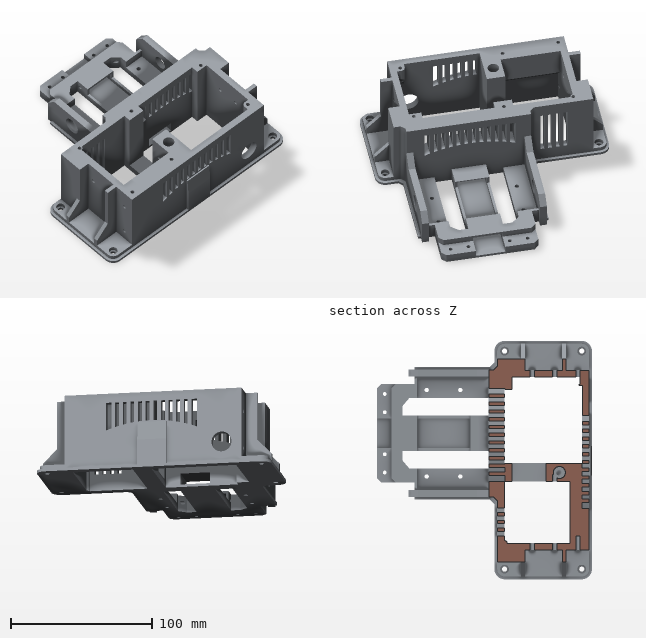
import cadquery as cq

OVERALL_X = 152.0
OVERALL_Y = 168.63
HEIGHT = 55.0
MID_Y = -19.0
FLANGE_LIP = 2.0
PLATE_Z = 5.0

PLATE_X0 = 85.0
PLATE_X1 = OVERALL_X - FLANGE_LIP
PLATE_HALF_Y = OVERALL_Y / 2 - FLANGE_LIP
PLATE_R = 5.2
NECK_CHAMFER = 3.0
MOUNT_HOLE_R = 1.8
MOUNT_BORE_R = 3.1
MOUNT_BORE_DEPTH = 3.0

BODY_HALF_Y = 72.0
BOSS_X0 = 79.0
CAVITY_X0 = 90.1
CAVITY_X1 = 145.0
MAIN_CAVITY_Y = (-21.0, 39.9)
SIDE_CAVITY_Y = (-77.6, -34.3)
SIDE_CAVITY_X1 = 136.0
UNDERCUT_Z = (23.6, 33.7)
GAP_X = (95.6, 119.0)
SCREW_BLOCK_Y0 = 31.0
POST_SIZE = 6.2
POST_UNDERSIDE_Z = (35.5, 46.7)
SCREW_COLUMN_R = 2.0
BLOCK_BORE = (128.8, -27.6)
BLOCK_BORE_R = 4.1
BLOCK_BORE_DEPTH = 20.0
BLOCK_PILOT_R = 2.3
BLOCK_PILOT_DEPTH = 30.0
CABLE_HOLE = (30.3, 16.3)
CABLE_HOLE_R = 7.2
BADGE_Y = (-30.0, -9.0)
BADGE_EDGE_Z = 20.0
BADGE_TOP_Z = 33.0
BADGE_TOP_T = 1.0
RECESS_DEPTH = 8.3
RIB_T = 3.0
RECESS_X = (104.7, 130.7)
GUSSET_LOW_Z = 10.3
GUSSET_HIGH_Z = 20.6

ARM_X0 = 22.3
ARM_HALF_Y = 45.0
ARM_T = 4.9
ARM_Z = 25.0
ARM_CHAMFER = 6.5
ARM_RAMP = 8.2
ARM_HOLE = (47.2, 14.5)
ARM_HOLE_R = 5.0
ARM_HOLE_CHAMFER = 1.2
DECK_X0 = 26.4
BAR_X1 = 28.3
BAR_Z = 11.6
BAR_X0 = 10.3
TONGUE_Z = 6.7
TONGUE_HALF_Y = 35.0
TONGUE_CHAMFER = 3.2
SLOT_X0 = 18.0
SLOT_Y = (12.4, 24.8)
SLOT_CORNER = (4.7, 5.6)
CHANNEL_HALF_Y = 10.6
CHANNEL_FLOOR_Z = 1.9
CHANNEL_ROOF_Z = 9.8
BRIDGE_X0 = 66.2
BRIDGE_Z = 10.6
DECK_HOLE_X = (35.1, 58.9)
DECK_HOLE_Y = 30.6
DECK_HOLE_R = 1.5
TONGUE_HOLE_X = 5.4
TONGUE_HOLE_Y = (14.9, 27.8)
CROSS_HOLE_X = 20.4

VENT_PITCH = 5.5
VENT_BAR = VENT_PITCH / 2
VENT_COUNT = 12
VENT_HALF_Y = 32.7
VENT_TOP_Z = 48.4
VENT_MID_Z = 34.3
VENT_SAGITTA = 6.1
FRONT_VENT_Y = -0.9
BACK_VENT_Y = FRONT_VENT_Y - 3.5 * VENT_PITCH
SIDE_VENT_Y = -62.6
SIDE_VENT_COUNT = 4
SIDE_VENT_Z = (12.0, 45.4)

SCREW_R = 1.35
SCREW_DEPTH = 10.0
BLOCK_SCREW_DEPTH = 5.0
TOP_SCREWS = [(92.9, 36.9), (141.8, 36.9), (90.1, -27.6), (141.8, -36.9), (90.1, -77.6), (144.9, -77.6)]
END_SCREWS = [(109.7, 39.9), (125.6, 39.9), (142.0, 39.9), (142.0, 13.1)]


def box(x0, x1, y0, y1, z0, z1):
    return cq.Workplane("XY").box(x1 - x0, y1 - y0, z1 - z0, centered=False).translate((x0, y0, z0))


def pin(x, y, z0, z1, radius):
    """Upright cylinder."""
    return cq.Workplane("XY", origin=(x, y, z0)).circle(radius).extrude(z1 - z0)


def pin_y(x, z, y0, y1, radius):
    """Cylinder lying along Y."""
    return cq.Workplane("XZ", origin=(x, y0, z)).circle(radius).extrude(y0 - y1)


def prism_y(points, y0, y1):
    """X-Z polygon extruded along Y."""
    return cq.Workplane("XZ", origin=(0, y0, 0)).polyline(points).close().extrude(y0 - y1)


def neck_wedges(corner_x, half_y, height):
    """Chamfer fillings in the two concave corners beside the arms."""
    c = NECK_CHAMFER
    wedges = cq.Workplane("XY")
    for side in (-1, 1):
        corner = [(corner_x - c, side * half_y), (corner_x, side * (half_y + c)), (corner_x, side * half_y)]
        wedges = wedges.union(cq.Workplane("XY").polyline(corner).close().extrude(height))
    return wedges


def base_layer(margin, height):
    """Rounded housing plate plus the arm strip, grown outwards by margin."""
    half_y = PLATE_HALF_Y + margin
    plate = box(PLATE_X0 - margin, PLATE_X1 + margin, MID_Y - half_y, MID_Y + half_y, 0, height)
    plate = plate.edges("|Z").fillet(PLATE_R + margin)
    arm_half_y = ARM_HALF_Y + margin
    strip = box(DECK_X0, PLATE_X0, -arm_half_y, arm_half_y, 0, height)
    return plate.union(strip).union(neck_wedges(PLATE_X0 - margin, arm_half_y, height))


def housing():
    y0 = MID_Y - BODY_HALF_Y
    y1 = MID_Y + BODY_HALF_Y
    body = box(PLATE_X0, PLATE_X1, y0, y1, 0, HEIGHT)
    body = body.union(box(BOSS_X0, PLATE_X0, -ARM_HALF_Y, ARM_HALF_Y, 0, HEIGHT))
    body = body.union(neck_wedges(PLATE_X0, ARM_HALF_Y, HEIGHT))
    rib_x1 = RECESS_X[1] + RIB_T
    for x0, x1 in (RECESS_X, (rib_x1, PLATE_X1)):
        body = body.cut(box(x0, x1, y0, y0 + RECESS_DEPTH, PLATE_Z, HEIGHT))
        body = body.cut(box(x0, x1, y1 - RECESS_DEPTH, y1, PLATE_Z, HEIGHT))
    return body


def gussets():
    plates = cq.Workplane("XY")
    for side in (-1, 1):
        wall_y = MID_Y + side * BODY_HALF_Y
        tip_y = MID_Y + side * PLATE_HALF_Y
        outline = [(wall_y, 0), (tip_y, 0), (tip_y, GUSSET_LOW_Z), (wall_y, GUSSET_HIGH_Z)]
        for x0 in (RECESS_X[0] - RIB_T, RECESS_X[1]):
            plate = cq.Workplane("YZ", origin=(x0, 0, 0)).polyline(outline).close().extrude(RIB_T)
            plates = plates.union(plate)
    return plates


def corner_post():
    """Rounded screw post in the rear corner of the main cavity, with a sloping underside."""
    low_z, high_z = POST_UNDERSIDE_Z
    x0 = CAVITY_X1 - POST_SIZE
    y1 = MAIN_CAVITY_Y[1]
    y0 = y1 - POST_SIZE
    post = box(x0, CAVITY_X1, y0, y1, low_z, HEIGHT)
    post = post.edges("|Z and <X and <Y").fillet(POST_SIZE / 2)
    return post.cut(prism_y([(x0, low_z), (CAVITY_X1, low_z), (x0, high_z)], y0, y1))


def cavities():
    main = box(CAVITY_X0, CAVITY_X1, *MAIN_CAVITY_Y, 0, HEIGHT)
    screw_block = box(CAVITY_X0, GAP_X[0], SCREW_BLOCK_Y0, MAIN_CAVITY_Y[1], 0, HEIGHT)
    main = main.cut(screw_block).cut(corner_post())
    side = box(CAVITY_X0, SIDE_CAVITY_X1, *SIDE_CAVITY_Y, 0, HEIGHT)
    undercut = [
        (SIDE_CAVITY_X1, 0),
        (CAVITY_X1, 0),
        (CAVITY_X1, UNDERCUT_Z[0]),
        (SIDE_CAVITY_X1, UNDERCUT_Z[1]),
    ]
    side = side.union(prism_y(undercut, *SIDE_CAVITY_Y))
    side = side.cut(pin(CAVITY_X0, SIDE_CAVITY_Y[0], 0, HEIGHT, SCREW_COLUMN_R))
    gap = box(*GAP_X, SIDE_CAVITY_Y[1], MAIN_CAVITY_Y[0], PLATE_Z, HEIGHT)
    return main.union(side).union(gap)


def arms():
    outline = [
        (ARM_X0, 0),
        (ARM_X0, ARM_Z - ARM_CHAMFER),
        (ARM_X0 + ARM_CHAMFER, ARM_Z),
        (BOSS_X0 - ARM_RAMP, ARM_Z),
        (BOSS_X0, ARM_Z + ARM_RAMP),
        (BOSS_X0, 0),
    ]
    hole_x, hole_z = ARM_HOLE
    arm = prism_y(outline, -ARM_HALF_Y, -ARM_HALF_Y + ARM_T)
    arm = arm.cut(pin_y(hole_x, hole_z, -ARM_HALF_Y, -ARM_HALF_Y + ARM_T, ARM_HOLE_R))
    arm = arm.faces("<Y").edges("%CIRCLE").chamfer(ARM_HOLE_CHAMFER)
    return arm.union(arm.mirror("XZ"))


def deck():
    """Tongue, cross bar and cable bridge in front of the housing."""
    tongue = box(0, BAR_X1, -TONGUE_HALF_Y, TONGUE_HALF_Y, 0, TONGUE_Z)
    tongue = tongue.edges("|Z and <X").chamfer(TONGUE_CHAMFER)
    bar = box(BAR_X0, BAR_X1, -TONGUE_HALF_Y, TONGUE_HALF_Y, 0, BAR_Z)
    bar = bar.edges("|Z and <X").chamfer(TONGUE_CHAMFER)
    arm_inner_y = ARM_HALF_Y - ARM_T
    rib = box(DECK_X0, BAR_X1, -arm_inner_y, arm_inner_y, 0, BAR_Z)
    bridge = box(BRIDGE_X0, BOSS_X0, -SLOT_Y[0], SLOT_Y[0], 0, BRIDGE_Z)
    return tongue.union(bar).union(rib).union(bridge)


def deck_openings():
    channel = box(0, CAVITY_X0, -CHANNEL_HALF_Y, CHANNEL_HALF_Y, CHANNEL_FLOOR_Z, CHANNEL_ROOF_Z)
    dx, dy = SLOT_CORNER
    y0, y1 = SLOT_Y
    outline = [(SLOT_X0, y0), (BOSS_X0, y0), (BOSS_X0, y1), (SLOT_X0 + dx, y1), (SLOT_X0, y1 - dy)]
    slot = cq.Workplane("XY").polyline(outline).close().extrude(BAR_Z)
    return channel.union(slot).union(slot.mirror("XZ"))


def deck_holes():
    holes = pin_y(CROSS_HOLE_X, TONGUE_Z, -TONGUE_HALF_Y, TONGUE_HALF_Y, SCREW_R)
    for side in (-1, 1):
        for y in TONGUE_HOLE_Y:
            holes = holes.union(pin(TONGUE_HOLE_X, side * y, 0, TONGUE_Z, SCREW_R))
        for x in DECK_HOLE_X:
            holes = holes.union(pin(x, side * DECK_HOLE_Y, 0, PLATE_Z, DECK_HOLE_R))
    return holes


def arched_vents(x0, x1, mid_y):
    """Row of upright slots whose lower ends follow an arc."""
    y0 = mid_y - VENT_HALF_Y
    y1 = mid_y + VENT_HALF_Y
    end_z = VENT_MID_Z - VENT_SAGITTA
    field = (
        cq.Workplane("YZ", origin=(x0, 0, 0))
        .moveTo(y0, VENT_TOP_Z)
        .lineTo(y0, end_z)
        .threePointArc((mid_y, VENT_MID_Z), (y1, end_z))
        .lineTo(y1, VENT_TOP_Z)
        .close()
        .extrude(x1 - x0)
    )
    for i in range(VENT_COUNT - 1):
        y = mid_y + (i - (VENT_COUNT - 2) / 2) * VENT_PITCH
        field = field.cut(box(x0, x1, y - VENT_BAR / 2, y + VENT_BAR / 2, end_z, VENT_TOP_Z))
    return field


def side_vents():
    slots = cq.Workplane("XY")
    half = (VENT_PITCH - VENT_BAR) / 2
    for i in range(SIDE_VENT_COUNT):
        y = SIDE_VENT_Y + (i - (SIDE_VENT_COUNT - 1) / 2) * VENT_PITCH
        slots = slots.union(box(PLATE_X0, CAVITY_X0, y - half, y + half, *SIDE_VENT_Z))
    return slots


def screw_holes():
    holes = cq.Workplane("XY")
    for x, y in TOP_SCREWS:
        holes = holes.union(pin(x, y, HEIGHT - SCREW_DEPTH, HEIGHT, SCREW_R))
    for x, z in END_SCREWS:
        for side in (-1, 1):
            y_out = MID_Y + side * BODY_HALF_Y
            y_in = y_out - side * (RECESS_DEPTH + SCREW_DEPTH)
            holes = holes.union(pin_y(x, z, min(y_out, y_in), max(y_out, y_in), SCREW_R))
    block_x, block_z = END_SCREWS[1]
    block_y = SIDE_CAVITY_Y[1]
    return holes.union(pin_y(block_x, block_z, block_y, block_y + BLOCK_SCREW_DEPTH, SCREW_R))


def mount_holes():
    holes = cq.Workplane("XY")
    for x in (PLATE_X0 + PLATE_R, PLATE_X1 - PLATE_R):
        for side in (-1, 1):
            y = MID_Y + side * (PLATE_HALF_Y - PLATE_R)
            holes = holes.union(pin(x, y, 0, PLATE_Z, MOUNT_HOLE_R))
            holes = holes.union(pin(x, y, PLATE_Z - MOUNT_BORE_DEPTH, PLATE_Z, MOUNT_BORE_R))
    return holes


def block_bore():
    x, y = BLOCK_BORE
    bore = pin(x, y, HEIGHT - BLOCK_BORE_DEPTH, HEIGHT, BLOCK_BORE_R)
    return bore.union(pin(x, y, HEIGHT - BLOCK_PILOT_DEPTH, HEIGHT, BLOCK_PILOT_R))


def cable_hole():
    y, z = CABLE_HOLE
    return cq.Workplane("YZ", origin=(CAVITY_X1, y, z)).circle(CABLE_HOLE_R).extrude(PLATE_X1 - CAVITY_X1)


def badge():
    """Raised pad on the rear wall, thinner towards its top."""
    outline = [
        (PLATE_X1, 0),
        (OVERALL_X, 0),
        (OVERALL_X, BADGE_EDGE_Z),
        (PLATE_X1 + BADGE_TOP_T, BADGE_TOP_Z),
        (PLATE_X1, BADGE_TOP_Z),
    ]
    return prism_y(outline, *BADGE_Y)


result = base_layer(FLANGE_LIP, FLANGE_LIP).union(base_layer(0, PLATE_Z))
result = result.union(housing()).union(gussets()).union(arms()).union(deck()).union(badge())
result = result.cut(cavities()).cut(deck_openings()).cut(deck_holes())
result = result.cut(arched_vents(BOSS_X0, CAVITY_X0, FRONT_VENT_Y))
result = result.cut(arched_vents(CAVITY_X1, PLATE_X1, BACK_VENT_Y))
result = result.cut(side_vents()).cut(screw_holes()).cut(mount_holes()).cut(block_bore()).cut(cable_hole())